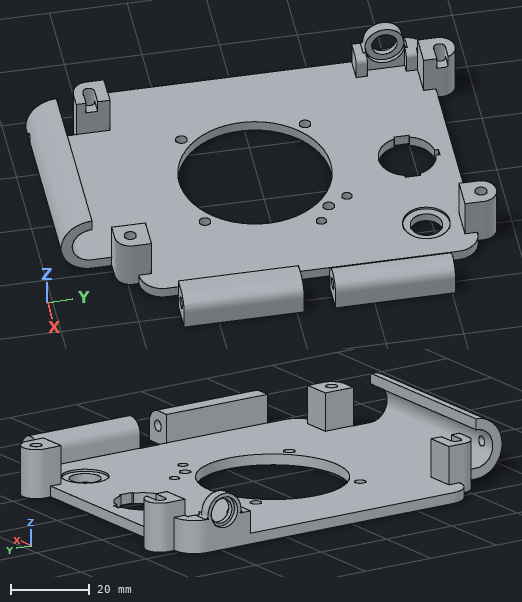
import cadquery as cq
import math


overall_width = 88.5
overall_length = 111.5
overall_height = 16.0

plate_width = 76.3
plate_front = 18.5
plate_back = 105.8
plate_thickness = 2.9
plate_corner_radius = 6.0
plate_mid_x = plate_width / 2

post_width = 8.0
post_radius = post_width / 2
post_height = 13.0
post_hole_diameter = 3.0
post_inset = 10.3
post_xs = [post_inset, plate_width - post_inset]
back_post_y = overall_length - post_radius
back_post_root = 102.6
front_post_y = 17.1
front_post_root = 21.7
slot_floor = 9.8

hook_radius = overall_height / 2
hook_root = plate_front + plate_corner_radius
hook_left = post_inset + post_radius
hook_length = plate_width - 2 * hook_left
hook_pin_hole_x = 19.2
hook_pin_hole_diameter = 2.6

opening_x = 37.1
opening_y = 54.7
opening_radius = 19.5
screw_offset = 16.0
screw_diameter = 2.9
extra_hole_near = 2.9
extra_hole_far = 5.2
extra_hole_diameter = 2.6

upper_hole_y = 93.8
switch_x = plate_mid_x
switch_diameter = 14.6
side_key_span = 15.5
side_key_width = 3.9
top_key_reach = 8.3
top_key_width = 2.0
stepped_x = 64.1
stepped_diameter = 8.1
stepped_seat_radius = 6.0
stepped_seat_depth = 0.6

ring_y = 94.7
ring_z = 9.8
ring_outer_radius = 5.0
ring_hole_radius = 3.2
ring_seat_radius = 4.0
ring_seat_depth = 1.5
ring_length = 2.9
bracket_wall = 4.0
bracket_depth = post_inset - post_radius
bracket_height = 8.8
bracket_half_width = back_post_root - ring_y
bracket_edge_radius = 1.7
ring_root_radius = 1.0

spacer_width = 7.9
spacer_left = overall_width - spacer_width
spacer_height = 8.8
spacer_length = 31.0
spacer_radius = spacer_width / 2
spacer_axis_x = spacer_left + spacer_radius
spacer_axis_z = spacer_height - spacer_radius
spacer_hole_diameter = 2.9
round_spacer_front = 65.7
half_round_spacer_front = 26.6


def box(x, y, z, dx, dy, dz):
    """Box from its lowest corner and its sizes."""
    return cq.Workplane("XY").box(dx, dy, dz, centered=False).translate((x, y, z))


def upright(x, y, z, radius, height):
    """Vertical cylinder standing on height z."""
    return cq.Workplane("XY").circle(radius).extrude(height).translate((x, y, z))


def along_x(radius, x_start, x_end, y, z):
    """Cylinder with its axis along X."""
    return cq.Workplane("YZ", origin=(x_start, y, z)).circle(radius).extrude(x_end - x_start)


def make_plate_outline(height):
    """Rounded rectangle of the plate, raised to the given height."""
    blank = box(0, plate_front, 0, plate_width, plate_back - plate_front, height)
    return blank.edges("|Z").fillet(plate_corner_radius)


def make_back_post(x):
    """Post with a full round end toward +Y."""
    root = box(x - post_radius, back_post_root, 0, post_width, back_post_y - back_post_root, post_height)
    return root.union(upright(x, back_post_y, 0, post_radius, post_height))


def make_front_post(x):
    """Post whose front corner is rounded on the side away from the middle of the plate."""
    post_front = front_post_y - post_radius
    root = box(x - post_radius, front_post_y, 0, post_width, front_post_root - front_post_y, post_height)
    inner_x = x if x < plate_mid_x else x - post_radius
    square_corner = box(inner_x, post_front, 0, post_radius, post_radius, post_height)
    return root.union(upright(x, front_post_y, 0, post_radius, post_height)).union(square_corner)


def make_hook():
    """Strip that leaves the plate's front edge and curls up through half a turn."""
    inner_radius = hook_radius - plate_thickness
    profile = (
        cq.Workplane("YZ", origin=(hook_left, 0, 0))
        .moveTo(hook_root, 0)
        .lineTo(hook_radius, 0)
        .threePointArc((0, hook_radius), (hook_radius, overall_height))
        .lineTo(hook_radius, overall_height - plate_thickness)
        .threePointArc((hook_radius - inner_radius, hook_radius), (hook_radius, plate_thickness))
        .lineTo(hook_root, plate_thickness)
        .close()
    )
    pin_hole = (
        cq.Workplane("XZ", origin=(hook_pin_hole_x, hook_radius, hook_radius))
        .circle(hook_pin_hole_diameter / 2)
        .extrude(hook_radius)
    )
    return profile.extrude(hook_length).cut(pin_hole)


def make_ring_root(side):
    """Concave fillet between the ring and the top of the bracket; side is +1 or -1 along Y."""
    fillet_z = bracket_height + ring_root_radius
    reach = math.sqrt((ring_outer_radius + ring_root_radius) ** 2 - (fillet_z - ring_z) ** 2)
    fillet_y = ring_y + side * reach
    wedge = (
        cq.Workplane("YZ")
        .polyline([(ring_y, ring_z), (fillet_y, fillet_z), (fillet_y, bracket_height)])
        .close()
        .extrude(bracket_wall)
    )
    return wedge.cut(along_x(ring_root_radius, 0, bracket_wall, fillet_y, fillet_z))


def make_bracket():
    """Upright block with a ring on the left edge, filled out to the back left post."""
    front = ring_y - bracket_half_width
    block = box(0, front, 0, bracket_depth, 2 * bracket_half_width, bracket_height)
    block = block.edges("|Y").edges(">X and >Z").fillet(bracket_edge_radius)
    corner = box(0, back_post_root, 0, bracket_depth, plate_back - back_post_root, bracket_height)
    block = block.union(corner).intersect(make_plate_outline(bracket_height))

    opening = box(
        bracket_wall, ring_y - ring_outer_radius, plate_thickness,
        bracket_depth, 2 * ring_outer_radius, bracket_height,
    )
    block = block.cut(opening)
    for side in (1, -1):
        block = block.union(make_ring_root(side))
    block = block.cut(along_x(ring_outer_radius, 0, bracket_depth, ring_y, ring_z))
    block = block.union(along_x(ring_outer_radius, 0, ring_length, ring_y, ring_z))
    block = block.cut(along_x(ring_hole_radius, 0, ring_length, ring_y, ring_z))
    return block.cut(along_x(ring_seat_radius, 0, ring_seat_depth, ring_y, ring_z))


def make_opening_cuts():
    """Large opening, four screw holes around it and two extra holes near the back right one."""
    cuts = upright(opening_x, opening_y, 0, opening_radius, plate_thickness)
    for sx in (-1, 1):
        for sy in (-1, 1):
            x = opening_x + sx * screw_offset
            y = opening_y + sy * screw_offset
            cuts = cuts.union(upright(x, y, 0, screw_diameter / 2, plate_thickness))
    for dx, dy in [(-extra_hole_near, extra_hole_far), (extra_hole_far, -extra_hole_near)]:
        x = opening_x + screw_offset + dx
        y = opening_y + screw_offset + dy
        cuts = cuts.union(upright(x, y, 0, extra_hole_diameter / 2, plate_thickness))
    return cuts


def make_switch_cut():
    """Round hole with a key slot on each side and a narrower one at the back."""
    side_keys = box(
        switch_x - side_key_span / 2, upper_hole_y - side_key_width / 2, 0,
        side_key_span, side_key_width, plate_thickness,
    )
    top_key = box(
        switch_x - top_key_width / 2, upper_hole_y, 0,
        top_key_width, top_key_reach, plate_thickness,
    )
    hole = upright(switch_x, upper_hole_y, 0, switch_diameter / 2, plate_thickness)
    return hole.union(side_keys).union(top_key)


def make_stepped_cut():
    """Through hole with a shallow seat in the plate's top face."""
    seat_z = plate_thickness - stepped_seat_depth
    seat = upright(stepped_x, upper_hole_y, seat_z, stepped_seat_radius, stepped_seat_depth)
    return upright(stepped_x, upper_hole_y, 0, stepped_diameter / 2, plate_thickness).union(seat)


def make_nut_slot(y):
    """Slot from the axis of a left post out through its +X face, open at the top."""
    return box(
        post_inset, y - post_hole_diameter / 2, slot_floor,
        post_radius, post_hole_diameter, post_height - slot_floor,
    )


def make_base():
    """Plate with its posts, hook, ring bracket and openings, as one solid."""
    base = make_plate_outline(plate_thickness).union(make_hook()).union(make_bracket())
    for x in post_xs:
        base = base.union(make_back_post(x)).union(make_front_post(x))
    for y in (back_post_y, front_post_y):
        for x in post_xs:
            base = base.cut(upright(x, y, 0, post_hole_diameter / 2, post_height))
        base = base.cut(make_nut_slot(y))
    return base.cut(make_opening_cuts()).cut(make_switch_cut()).cut(make_stepped_cut())


def bore_spacer(bar, front):
    """Bore a spacer along its length, on the axis of its rounding."""
    hole = (
        cq.Workplane("XZ", origin=(spacer_axis_x, front, spacer_axis_z))
        .circle(spacer_hole_diameter / 2)
        .extrude(-spacer_length)
    )
    return bar.cut(hole)


def make_spacer(front, square_left):
    """Bar along Y with a rounded top, or with only its +X half rounded when square_left is set."""
    spacer_right = spacer_left + spacer_width
    profile = (
        cq.Workplane("XZ", origin=(0, front, 0))
        .moveTo(spacer_left, 0)
        .lineTo(spacer_right, 0)
        .lineTo(spacer_right, spacer_axis_z)
    )
    if square_left:
        diagonal = spacer_radius * math.cos(math.pi / 4)
        quarter_mid = (spacer_axis_x + diagonal, spacer_axis_z + diagonal)
        profile = profile.threePointArc(quarter_mid, (spacer_axis_x, spacer_height))
        profile = profile.lineTo(spacer_left, spacer_height)
    else:
        crown = (spacer_axis_x, spacer_height)
        profile = profile.threePointArc(crown, (spacer_left, spacer_axis_z))
    return bore_spacer(profile.close().extrude(-spacer_length), front)


base = make_base()
round_spacer = make_spacer(round_spacer_front, square_left=False)
half_round_spacer = make_spacer(half_round_spacer_front, square_left=True)

result = cq.Compound.makeCompound([base.val(), round_spacer.val(), half_round_spacer.val()])